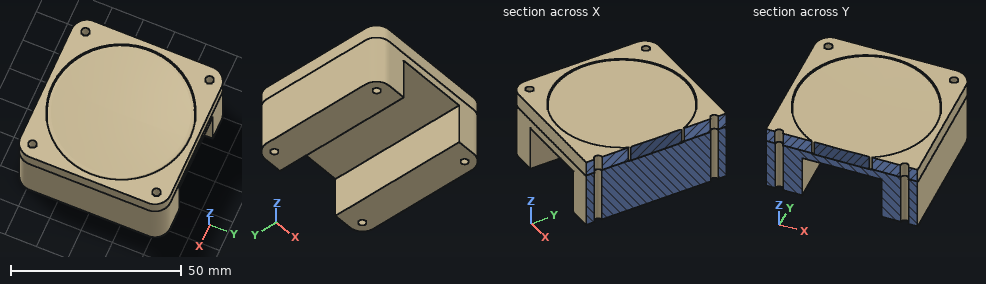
import cadquery as cq

side = 48.0
corner_radius = 5.0
ring_thickness = 5.0
plate_thickness = 3.0
leg_height = 15.0
leg_width = 11.5

plate_bottom = leg_height
plate_top = plate_bottom + plate_thickness
ring_top = plate_top + ring_thickness

hole_offset = 19.8
ring_hole_diameter = 2.5
base_hole_diameter = 2.4

bore_diameter = 44.0
radial_gap = 0.3
disc_diameter = bore_diameter - 2 * radial_gap
disc_edge_radius = 0.4
dish_diameter = 41.3
dish_depth = 1.4


def rounded_block(bottom, height):
    """Square block with rounded vertical corners."""
    return (
        cq.Workplane("XY", origin=(0, 0, bottom))
        .rect(side, side)
        .extrude(height)
        .edges("|Z")
        .fillet(corner_radius)
    )


def corner_drills(diameter):
    """Four cylinders through the full height at the screw positions."""
    return (
        cq.Workplane("XY")
        .rect(2 * hole_offset, 2 * hole_offset, forConstruction=True)
        .vertices()
        .circle(diameter / 2)
        .extrude(ring_top)
    )


def make_ring():
    """Top plate with a through bore for the disc."""
    bore = (
        cq.Workplane("XY", origin=(0, 0, plate_top))
        .circle(bore_diameter / 2)
        .extrude(ring_thickness)
    )
    block = rounded_block(plate_top, ring_thickness)
    return block.cut(bore).cut(corner_drills(ring_hole_diameter))


def make_base():
    """Plate on two side legs; the passage between them runs along Y."""
    drills = corner_drills(base_hole_diameter)
    passage = cq.Workplane("XY").box(
        side - 2 * leg_width, side, leg_height, centered=(True, True, False)
    )
    plate = rounded_block(plate_bottom, plate_thickness).cut(drills)
    legs = rounded_block(0, leg_height).cut(passage).cut(drills)
    return plate.union(legs, clean=False)


def make_disc():
    """Round disc with a rounded rim and a shallow spherical dish."""
    disc = (
        cq.Workplane("XY", origin=(0, 0, plate_top))
        .circle(disc_diameter / 2)
        .extrude(ring_thickness)
        .faces(">Z")
        .fillet(disc_edge_radius)
    )
    dish_radius = dish_diameter / 2
    sphere_radius = (dish_radius**2 + dish_depth**2) / (2 * dish_depth)
    sphere_center = ring_top + sphere_radius - dish_depth
    dish = (
        cq.Workplane("YZ", origin=(0, 0, sphere_center))
        .moveTo(-sphere_radius, 0)
        .threePointArc((0, -sphere_radius), (sphere_radius, 0))
        .close()
        .revolve(360, (0, 0, 0), (1, 0, 0))
    )
    return disc.cut(dish, clean=False)


ring = make_ring()
base = make_base()
disc = make_disc()

result = cq.Compound.makeCompound([ring.val(), base.val(), disc.val()])